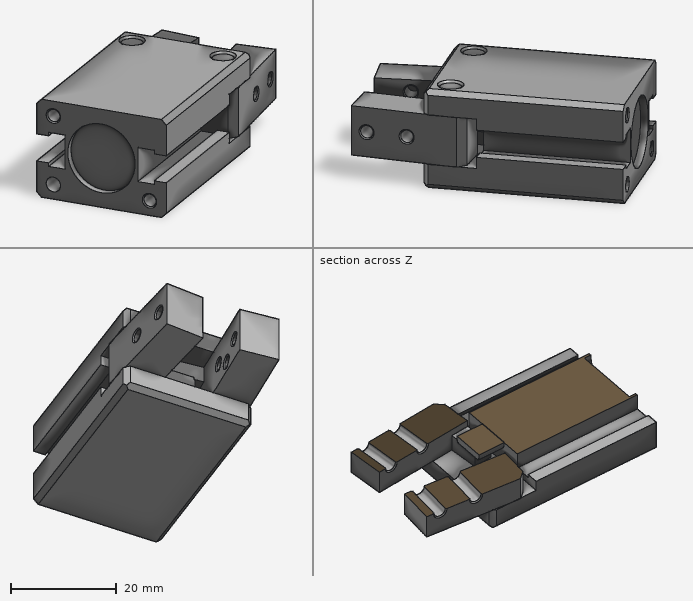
import cadquery as cq
import math

total_length = 53.3
housing_width = 27.0
housing_length = 39.0
housing_height = 20.0
edge_chamfer = 1.0

slot_floor_y = 28.55
slot_height = 9.95

groove_mouth_height = 5.5
groove_mouth_depth = 2.5
groove_inner_height = 6.9
groove_depth = 5.9

bore_diameter = 14.0
bore_depth = 1.5
mount_x = 10.0
mount_z = 7.0
mount_diameter = 2.5
mount_mouth_diameter = 3.0
mount_depth = 6.0
drill_point_angle = 118.0

pivot_x = 9.5
closing_angle = 5.0
finger_width = 8.0
finger_tail = 4.05
finger_chamfer = 1.55
finger_hole_diameter = 2.5
finger_hole_mouth_diameter = 3.0
finger_hole_from_tip = 3.05
finger_hole_pitch = 8.0
cross_hole_count = 2
finger_front = 18.5
arm_reach = 10.5

blind_hole_offset = 2.5
blind_hole_depth = 4.0

recess_mouth_diameter = 5.0
recess_floor_diameter = 4.15

rod_diameter = 7.0
rod_thickness = 2.8

turn = math.radians(closing_angle)
pivot_y = total_length - finger_front * math.cos(turn) - finger_width / 2 * math.sin(turn)


def drill(mouth, direction, diameter, depth, mouth_diameter):
    """Straight hole whose mouth is widened by a 45 degree countersink."""
    hole = cq.Workplane(cq.Solid.makeCylinder(diameter / 2, depth, mouth, direction))
    sink_depth = (mouth_diameter - diameter) / 2
    sink = cq.Solid.makeCone(mouth_diameter / 2, diameter / 2, sink_depth, mouth, direction)
    return hole.union(cq.Workplane(sink))


def side_groove(side):
    wall_x = side * housing_width / 2
    mouth = cq.Workplane().box(2 * groove_mouth_depth, slot_floor_y, groove_mouth_height)
    mouth = mouth.translate((wall_x, slot_floor_y / 2, 0))
    inner_width = groove_depth - groove_mouth_depth
    inner = cq.Workplane().box(inner_width, slot_floor_y, groove_inner_height)
    inner_x = wall_x - side * (groove_mouth_depth + inner_width / 2)
    return mouth.union(inner.translate((inner_x, slot_floor_y / 2, 0)))


def drill_point(x, z, diameter):
    length = diameter / 2 / math.tan(math.radians(drill_point_angle / 2))
    start = cq.Vector(x, mount_depth, z)
    return cq.Workplane(cq.Solid.makeCone(diameter / 2, 0, length, start, cq.Vector(0, 1, 0)))


def countersunk_mount(x, z):
    mouth = cq.Vector(x, 0, z)
    hole = drill(mouth, cq.Vector(0, 1, 0), mount_diameter, mount_depth, mount_mouth_diameter)
    return hole.union(drill_point(x, z, mount_diameter))


def plain_mount(x, z):
    radius = mount_mouth_diameter / 2
    hole = cq.Solid.makeCylinder(radius, mount_depth, cq.Vector(x, 0, z), cq.Vector(0, 1, 0))
    return cq.Workplane(hole).union(drill_point(x, z, mount_mouth_diameter))


def pivot_recess(side):
    depth = (recess_mouth_diameter - recess_floor_diameter) / 2
    mouth = cq.Vector(side * pivot_x, pivot_y, housing_height / 2)
    cone = cq.Solid.makeCone(
        recess_mouth_diameter / 2, recess_floor_diameter / 2, depth, mouth, cq.Vector(0, 0, -1)
    )
    return cq.Workplane(cone)


def make_chamfered_block():
    """Block with chamfers along it and round its front that meet in a point at each corner."""
    block = cq.Workplane().box(housing_width, housing_length, housing_height)
    long_edges = block.edges("|Y").chamfer(edge_chamfer)
    front_uprights = block.edges(">Y and |Z").chamfer(edge_chamfer)
    front_crossings = block.edges(">Y and |X").chamfer(edge_chamfer)
    block = long_edges.intersect(front_uprights).intersect(front_crossings)
    return block.translate((0, housing_length / 2, 0))


def make_housing():
    body = make_chamfered_block()

    slot_length = housing_length - slot_floor_y
    slot = cq.Workplane().box(housing_width, slot_length, slot_height)
    body = body.cut(slot.translate((0, slot_floor_y + slot_length / 2, 0)))

    bore = cq.Solid.makeCylinder(bore_diameter / 2, bore_depth, cq.Vector(0, 0, 0), cq.Vector(0, 1, 0))
    body = body.cut(cq.Workplane(bore))

    body = body.cut(countersunk_mount(-mount_x, mount_z))
    body = body.cut(countersunk_mount(mount_x, -mount_z))
    body = body.cut(plain_mount(-mount_x, -mount_z))
    for side in (-1, 1):
        body = body.cut(side_groove(side)).cut(pivot_recess(side))
    return body


def cross_hole(y):
    """Hole right through a finger, countersunk at both ends."""
    half_width = finger_width / 2
    hole = cq.Workplane()
    for side in (-1, 1):
        mouth = cq.Vector(side * half_width, y, 0)
        inward = cq.Vector(-side, 0, 0)
        hole = hole.union(
            drill(mouth, inward, finger_hole_diameter, half_width, finger_hole_mouth_diameter)
        )
    return hole


def blind_hole():
    y = finger_front - finger_hole_from_tip - finger_hole_pitch / 2
    mouth = cq.Vector(finger_width / 2, y, -blind_hole_offset)
    outward = cq.Vector(-1, 0, 0)
    return drill(mouth, outward, finger_hole_diameter, blind_hole_depth, finger_hole_mouth_diameter)


def make_finger():
    """Left finger, its pivot on the Z axis and pointing along +Y before it is turned and placed."""
    half_width = finger_width / 2
    bar = (
        cq.Workplane()
        .moveTo(-half_width, finger_front)
        .lineTo(half_width, finger_front)
        .lineTo(half_width, -finger_tail)
        .lineTo(-half_width + finger_chamfer, -finger_tail)
        .lineTo(-half_width, -finger_tail + finger_chamfer)
        .close()
        .extrude(slot_height / 2, both=True)
    )
    arm_height = (slot_height - rod_thickness) / 2
    arm = cq.Workplane().box(arm_reach, finger_tail, arm_height, centered=False)
    finger = bar.union(arm.translate((0, -finger_tail, rod_thickness / 2)))

    for index in range(cross_hole_count):
        finger = finger.cut(cross_hole(finger_front - finger_hole_from_tip - index * finger_hole_pitch))
    finger = finger.cut(blind_hole())
    finger = finger.rotate((0, 0, 0), (0, 0, 1), -closing_angle)
    return finger.translate((-pivot_x, pivot_y, 0))


def make_rod():
    length = pivot_y - slot_floor_y
    start = cq.Vector(0, slot_floor_y, 0)
    rod = cq.Solid.makeCylinder(rod_diameter / 2, length, start, cq.Vector(0, 1, 0))
    between_flats = cq.Workplane().box(rod_diameter, length, rod_thickness)
    return cq.Workplane(rod).intersect(between_flats.translate((0, slot_floor_y + length / 2, 0)))


housing = make_housing()
left_finger = make_finger()
right_finger = make_finger().rotate((0, 0, 0), (0, 1, 0), 180)
rod = make_rod()

result = cq.Compound.makeCompound([housing.val(), left_finger.val(), right_finger.val(), rod.val()])